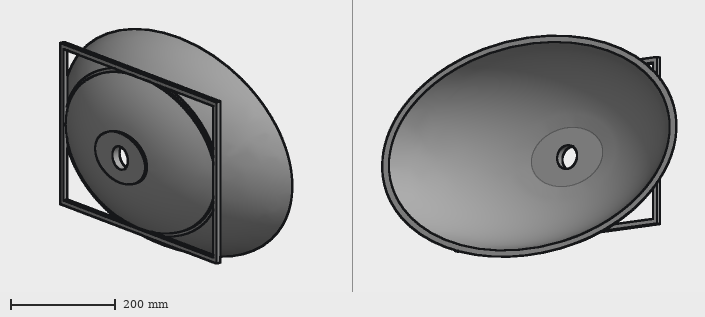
import cadquery as cq
import math

RIM_LENGTH = 685.0
RIM_HEIGHT = 425.0
TOTAL_DEPTH = 145.0

FOOT_LENGTH = 150.0
FOOT_HEIGHT = 100.0
FOOT_THICKNESS = 5.0
DRAIN_DIAMETER = 46.0

BOWL_DEPTH = TOTAL_DEPTH - FOOT_THICKNESS
LONG_ARC_RADIUS = 408.0
SHORT_ARC_RADIUS = 188.0
WALL_THICKNESS = 12.0
FLOOR_THICKNESS = 18.0
SECTION_COUNT = 9

FRAME_LENGTH = 470.0
FRAME_HEIGHT = 325.0
FRAME_BAR = 10.0
FRAME_DEPTH = 90.0
FRAME_OPENING_LENGTH = FRAME_LENGTH - 2 * FRAME_BAR
FRAME_OPENING_HEIGHT = FRAME_HEIGHT - 2 * FRAME_BAR


def plane_at(depth):
    """Workplane parallel to XZ at a depth below the rim, facing -Y."""
    return cq.Workplane("XZ", origin=(0, -depth, 0))


def arc_center(rim_half, foot_half, radius):
    """Center (offset from the axis, depth) of the arc from the rim edge to the foot edge."""
    across = rim_half - foot_half
    chord = math.hypot(across, BOWL_DEPTH)
    rise = math.sqrt(radius**2 - (chord / 2) ** 2)
    offset = (rim_half + foot_half) / 2 - rise * BOWL_DEPTH / chord
    depth = BOWL_DEPTH / 2 - rise * across / chord
    return offset, depth


def half_width(rim, foot, radius, inset, depth):
    """Half width at a depth of the meridian arc moved inward by the inset."""
    offset, center_depth = arc_center(rim / 2, foot / 2, radius)
    return offset + math.sqrt((radius - inset) ** 2 - (depth - center_depth) ** 2)


def dish(inset, end_depth):
    """Loft of ellipses, spaced closer toward the bottom where the surface curves most."""
    sections = []
    for index in range(SECTION_COUNT):
        depth = end_depth * math.sin(math.pi / 2 * index / (SECTION_COUNT - 1))
        half_length = half_width(RIM_LENGTH, FOOT_LENGTH, LONG_ARC_RADIUS, inset, depth)
        half_height = half_width(RIM_HEIGHT, FOOT_HEIGHT, SHORT_ARC_RADIUS, inset, depth)
        sections.append(plane_at(depth).ellipse(half_length, half_height).wires().val())
    return cq.Workplane(obj=cq.Solid.makeLoft(sections))


def make_basin():
    """Hollow bowl with its foot, drain hole and frame seat."""
    floor_depth = TOTAL_DEPTH - FLOOR_THICKNESS
    foot = plane_at(floor_depth).ellipse(FOOT_LENGTH / 2, FOOT_HEIGHT / 2).extrude(FLOOR_THICKNESS)
    drain = plane_at(0).circle(DRAIN_DIAMETER / 2).extrude(TOTAL_DEPTH)
    seat = (
        plane_at(FRAME_DEPTH)
        .rect(RIM_LENGTH, RIM_HEIGHT)
        .ellipse(FRAME_OPENING_LENGTH / 2, FRAME_OPENING_HEIGHT / 2)
        .extrude(FRAME_BAR)
    )
    hollow = dish(WALL_THICKNESS, floor_depth)
    return dish(0, BOWL_DEPTH).union(foot).cut(hollow).cut(drain).cut(seat)


def make_frame():
    """Rectangular ring lying on the seat step."""
    return (
        plane_at(FRAME_DEPTH)
        .rect(FRAME_LENGTH, FRAME_HEIGHT)
        .rect(FRAME_OPENING_LENGTH, FRAME_OPENING_HEIGHT)
        .extrude(FRAME_BAR)
    )


basin = make_basin()
frame = make_frame()
result = cq.Compound.makeCompound([basin.solids().val(), frame.val()])